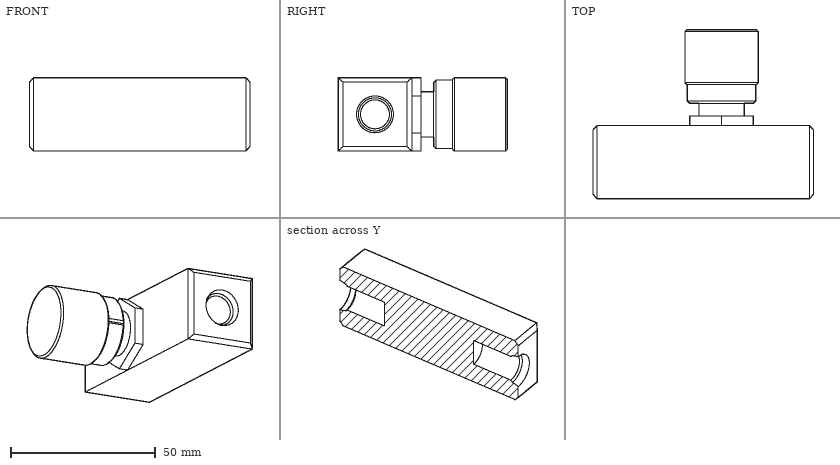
import cadquery as cq
import math

block_length = 76.2
block_side = 25.45
chamfer_along = 1.45
chamfer_across = 1.6

port_mouth_diameter = 12.7
port_throat_diameter = 11.4
port_drill_diameter = 10.0
port_taper_depth = 2.1
port_throat_depth = 2.5
port_step_depth = 3.2
port_depth = 19.05

stem_offset = 6.3

hex_corners = block_side
hex_height = 3.2
neck_diameter = 15.7
neck_length = 4.35

skirt_diameter = 23.8
skirt_length = 6.5
skirt_chamfer = 0.85
grip_diameter = block_side
grip_length = 19.0
grip_chamfer = 0.7
notch_width = 1.6
notch_depth = 0.85

block_face = block_side / 2
hex_face = block_face + hex_height
knob_start = hex_face + neck_length
grip_start = knob_start + skirt_length


def stem_cylinder(diameter, start, length):
    """Round bar on the stem axis, starting at the given station."""
    plane = cq.Workplane("XZ", origin=(stem_offset, start, 0))
    return plane.circle(diameter / 2).extrude(-length)


def make_block():
    """Square bar with all four edges of each end chamfered."""
    half_length = block_length / 2
    half_side = block_side / 2
    end_length = half_length - chamfer_along
    end_side = half_side - chamfer_across
    outline = [
        (-half_length, -end_side),
        (-end_length, -half_side),
        (end_length, -half_side),
        (half_length, -end_side),
        (half_length, end_side),
        (end_length, half_side),
        (-end_length, half_side),
        (-half_length, end_side),
    ]
    plan = cq.Workplane("XY").polyline(outline).close().extrude(half_side, both=True)
    elevation = cq.Workplane("XZ").polyline(outline).close().extrude(half_side, both=True)
    return plan.intersect(elevation)


def make_port():
    """Stepped, tapered port cutter entering the -X end of the block."""
    profile = [
        (0, 0),
        (0, port_mouth_diameter / 2),
        (port_taper_depth, port_throat_diameter / 2),
        (port_throat_depth, port_throat_diameter / 2),
        (port_step_depth, port_drill_diameter / 2),
        (port_depth, port_drill_diameter / 2),
        (port_depth, 0),
    ]
    cutter = cq.Workplane("XY").polyline(profile).close().revolve(360, (0, 0), (1, 0))
    return cutter.translate((-block_length / 2, 0, 0))


def make_hex_collar():
    """Hexagonal collar with two corners pointing along Z."""
    plane = cq.Workplane("XZ", origin=(stem_offset, block_face, 0))
    corners = [
        (
            hex_corners / 2 * math.sin(math.radians(angle)),
            hex_corners / 2 * math.cos(math.radians(angle)),
        )
        for angle in range(0, 360, 60)
    ]
    return plane.polyline(corners).close().extrude(-hex_height)


def make_housing():
    """Block with its two end ports, hexagonal collar and neck."""
    port = make_port()
    body = make_block().cut(port).cut(port.mirror("YZ"))
    neck = stem_cylinder(neck_diameter, hex_face, neck_length)
    return body.union(make_hex_collar()).union(neck)


def make_index_notch():
    """V-shaped cutter along the -X side of the skirt."""
    surface = -skirt_diameter / 2
    outer_half_width = notch_width
    outer_reach = notch_depth * outer_half_width / (notch_width / 2)
    bottom = surface + notch_depth
    profile = [
        (bottom, 0),
        (bottom - outer_reach, outer_half_width),
        (bottom - outer_reach, -outer_half_width),
    ]
    plane = cq.Workplane("XZ", origin=(stem_offset, knob_start, 0))
    return plane.polyline(profile).close().extrude(-skirt_length)


def make_knob():
    """Round knob with chamfered skirt and grip, and an index notch."""
    skirt = stem_cylinder(skirt_diameter, knob_start, skirt_length)
    skirt = skirt.faces("<Y").chamfer(skirt_chamfer)
    grip = stem_cylinder(grip_diameter, grip_start, grip_length)
    grip = grip.faces("<Y or >Y").chamfer(grip_chamfer)
    return skirt.cut(make_index_notch()).union(grip)


housing = make_housing()
knob = make_knob()
result = cq.Compound.makeCompound([housing.val(), knob.val()])